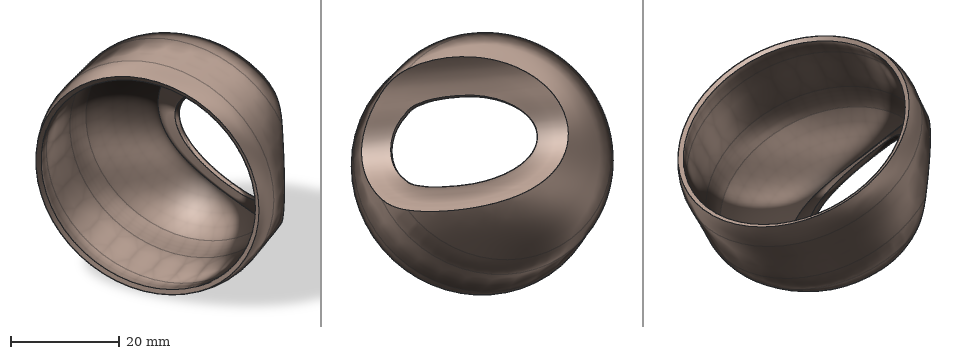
import cadquery as cq
import math

outer_radius = 23.5
wall = 1.0
draft_angle = math.radians(1.9)
lip_radius = 10.55
lip_height = 4.65
shoulder_radius = 11.3
dome_radius = 24.75
dome_center_y = 7.75

dish_tilt = 30.6
dish_radius = 21.0
dish_start_x = -10.8
dish_start_y = 30.05
dish_length = 141.0

window_margin = 5.95
window_length = 28.1
window_half_width = 8.75
window_widest = 14.55
side_end_direction = (0.93, 0.3)
shoulder_start = (22.1, 8.0)
shoulder_middle = (23.88, 7.35)
shoulder_end = (25.2, 6.2)
window_depth = 28.2


def polar(center, radius, angle):
    """Point at an angle from the radial direction, as (radius, y)."""
    return (center[0] + radius * math.cos(angle), center[1] + radius * math.sin(angle))


lip_center = (outer_radius - lip_radius, lip_height - lip_radius * math.sin(draft_angle))
dome_center = (0, dome_center_y)
draft_line_distance = (
    lip_center[0] * math.cos(draft_angle)
    + (lip_center[1] - dome_center_y) * math.sin(draft_angle)
    + lip_radius
)
dome_angle = draft_angle + math.acos(
    (draft_line_distance - shoulder_radius) / (dome_radius - shoulder_radius)
)
shoulder_center = polar(dome_center, dome_radius - shoulder_radius, dome_angle)
rim_angle = -math.asin(lip_center[1] / lip_radius)
rim_radius = polar(lip_center, lip_radius, rim_angle)[0]


def cup_solid(inset):
    """Solid inside the outer cup surface moved inwards by inset.

    An inset solid also flares from its lip to the rim edge, leaving a conical rim face square to the wall.
    """
    lip = lip_radius - inset
    shoulder = shoulder_radius - inset
    dome = dome_radius - inset
    profile = cq.Workplane("XY").lineTo(rim_radius, 0)
    if inset > 0:
        profile = profile.lineTo(*polar(lip_center, lip, rim_angle))
    return (
        profile
        .threePointArc(
            polar(lip_center, lip, (rim_angle + draft_angle) / 2),
            polar(lip_center, lip, draft_angle),
        )
        .lineTo(*polar(shoulder_center, shoulder, draft_angle))
        .threePointArc(
            polar(shoulder_center, shoulder, (draft_angle + dome_angle) / 2),
            polar(shoulder_center, shoulder, dome_angle),
        )
        .threePointArc(
            polar(dome_center, dome, (dome_angle + math.pi / 2) / 2),
            (0, dome_center_y + dome),
        )
        .close()
        .revolve(360, (0, 0, 0), (0, 1, 0))
    )


tilt = math.radians(dish_tilt)
along = cq.Vector(math.cos(tilt), -math.sin(tilt), 0)
outward = cq.Vector(math.sin(tilt), math.cos(tilt), 0)
floor_start = cq.Vector(dish_start_x, dish_start_y, 0)


def dish_cutter(radius):
    """Long cylinder on the dish axis."""
    start = floor_start + outward * dish_radius - along * (dish_length / 2)
    return cq.Workplane(obj=cq.Solid.makeCylinder(radius, dish_length, start, along))


def window_cutter():
    """Prism with the egg-shaped window outline, square to the dish floor."""
    def mirrored(point):
        return (point[0], -point[1])

    origin = floor_start + along * window_margin
    plane = cq.Plane(origin=origin.toTuple(), xDir=along.toTuple(), normal=outward.toTuple())
    blunt_end = (
        cq.Workplane(plane)
        .moveTo(window_widest, -window_half_width)
        .spline(
            [mirrored(shoulder_start)],
            tangents=[(1, 0), side_end_direction],
            includeCurrent=True,
        )
        .threePointArc(mirrored(shoulder_middle), mirrored(shoulder_end))
        .threePointArc((window_length, 0), shoulder_end)
        .threePointArc(shoulder_middle, shoulder_start)
        .spline(
            [(window_widest, window_half_width)],
            tangents=[(-side_end_direction[0], side_end_direction[1]), (-1, 0)],
            includeCurrent=True,
        )
        .close()
        .extrude(window_depth / 2, both=True)
    )
    long_end = (
        cq.Workplane(plane)
        .center(window_widest, 0)
        .moveTo(0, window_half_width)
        .ellipseArc(window_widest, window_half_width, 90, 270, startAtCurrent=True)
        .close()
        .extrude(window_depth / 2, both=True)
    )
    return blunt_end.union(long_end)


outside = cup_solid(0).cut(dish_cutter(dish_radius))
cavity = cup_solid(wall).cut(dish_cutter(dish_radius + wall))
result = outside.cut(cavity).cut(window_cutter())